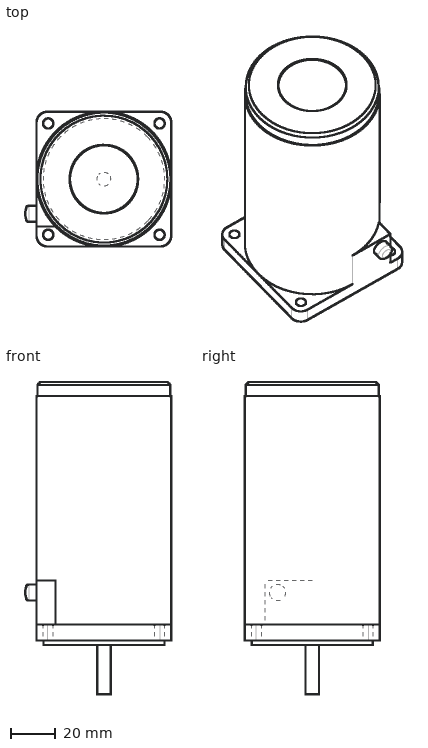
import cadquery as cq
import math

FLANGE_SIDE = 60.0
FLANGE_THICKNESS = 7.1
FLANGE_CORNER_RADIUS = 5.0
OVERALL_HEIGHT = 139.0

HOLE_SPACING = 49.5
HOLE_DIAMETER = 4.5

PILOT_DIAMETER = 54.0
PILOT_HEIGHT = 2.0
SHAFT_DIAMETER = 6.1
SHAFT_LENGTH = 22.0

BODY_DIAMETER = FLANGE_SIDE
CAP_DIAMETER = 59.2
CAP_HEIGHT = 6.4
CAP_CHAMFER = 1.4

RECESS_DIAMETER = 30.6
RECESS_FLOOR_DIAMETER = 30.0
RECESS_DEPTH = 0.3

BLOCK_WIDTH = 21.0
BLOCK_HEIGHT = 19.6

GLAND_Y = -15.4
GLAND_HEIGHT = 14.3
GLAND_LENGTH = 5.0
GLAND_DIAMETER = 7.2
GLAND_END_RADIUS = 1.3
GLAND_DOME_RISE = 0.4

TOP_Z = OVERALL_HEIGHT - SHAFT_LENGTH - PILOT_HEIGHT
CAP_Z = TOP_Z - CAP_HEIGHT
OUTLET_X = -FLANGE_SIDE / 2


def cylinder(diameter, bottom_z, height):
    return cq.Workplane("XY").workplane(offset=bottom_z).circle(diameter / 2).extrude(height)


def make_flange():
    plate = cq.Workplane("XY").rect(FLANGE_SIDE, FLANGE_SIDE).extrude(FLANGE_THICKNESS)
    return plate.edges("|Z").fillet(FLANGE_CORNER_RADIUS)


def make_mounting_holes():
    return (
        cq.Workplane("XY")
        .rect(HOLE_SPACING, HOLE_SPACING, forConstruction=True)
        .vertices()
        .circle(HOLE_DIAMETER / 2)
        .extrude(FLANGE_THICKNESS)
    )


def make_cap():
    cap = cylinder(CAP_DIAMETER, CAP_Z, CAP_HEIGHT).faces(">Z").chamfer(CAP_CHAMFER)
    recess = (
        cq.Workplane("XY")
        .workplane(offset=TOP_Z)
        .circle(RECESS_DIAMETER / 2)
        .workplane(offset=-RECESS_DEPTH)
        .circle(RECESS_FLOOR_DIAMETER / 2)
        .loft(ruled=True)
    )
    return cap.cut(recess)


def make_outlet_block():
    block = cq.Workplane("XY").box(-OUTLET_X, BLOCK_WIDTH, BLOCK_HEIGHT, centered=False)
    return block.translate((OUTLET_X, -BLOCK_WIDTH, FLANGE_THICKNESS))


def make_gland():
    radius = GLAND_DIAMETER / 2
    dome_radius = radius - GLAND_END_RADIUS
    shoulder_z = GLAND_LENGTH - GLAND_DOME_RISE
    sphere_radius = (dome_radius**2 + GLAND_DOME_RISE**2) / (2 * GLAND_DOME_RISE)
    dome_middle_x = dome_radius / 2
    dome_middle_z = GLAND_LENGTH - sphere_radius + math.sqrt(sphere_radius**2 - dome_middle_x**2)
    profile = (
        cq.Workplane("XZ")
        .lineTo(radius, 0)
        .lineTo(radius, shoulder_z - GLAND_END_RADIUS)
        .tangentArcPoint((dome_radius, shoulder_z), relative=False)
        .threePointArc((dome_middle_x, dome_middle_z), (0, GLAND_LENGTH))
        .close()
    )
    gland = profile.revolve(360, (0, 0, 0), (0, 1, 0))
    gland = gland.rotate((0, 0, 0), (0, 1, 0), -90)
    return gland.translate((OUTLET_X, GLAND_Y, FLANGE_THICKNESS + GLAND_HEIGHT))


body = cylinder(BODY_DIAMETER, FLANGE_THICKNESS, CAP_Z - FLANGE_THICKNESS)
pilot = cylinder(PILOT_DIAMETER, -PILOT_HEIGHT, PILOT_HEIGHT)
shaft = cylinder(SHAFT_DIAMETER, -PILOT_HEIGHT - SHAFT_LENGTH, SHAFT_LENGTH)

result = (
    make_flange()
    .cut(make_mounting_holes())
    .union(pilot)
    .union(shaft)
    .union(body)
    .union(make_cap())
    .union(make_outlet_block())
    .union(make_gland())
)